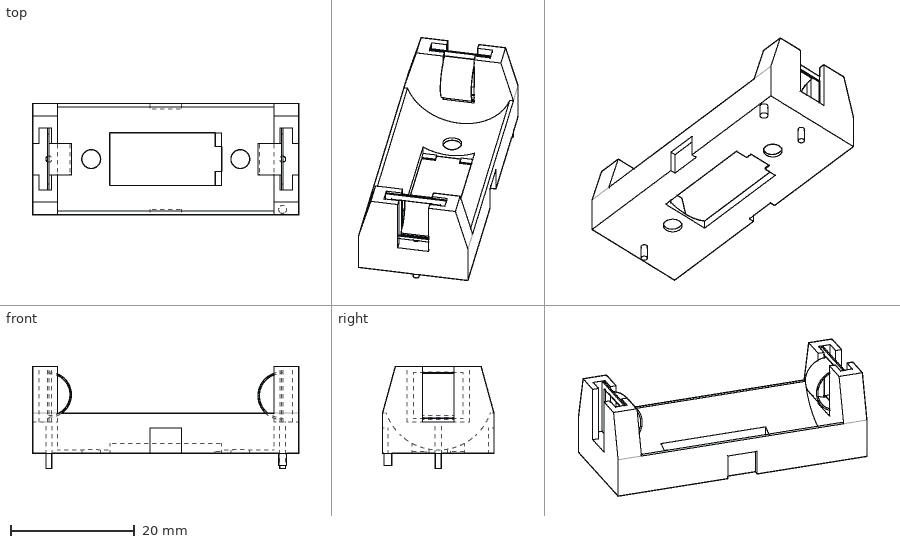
import cadquery as cq


length = 43.0
width = 18.0
rail_height = 6.5
tower_height = 14.0
tower_length = 4.05
tower_top_width = 13.9

cradle_radius = 8.9
cradle_floor = 0.5
cradle_axis_z = cradle_floor + cradle_radius

window_length = 18.05
window_width = 8.45
tab_length = 1.08
tab_width = 2.25
tab_thickness = 0.25
floor_hole_diameter = 3.0
floor_hole_x = 12.05
notch_length = 5.07
notch_height = 4.05
notch_depth = 0.9

seat_floor = 5.07
gap_width = 5.07
slot_length = 2.0
slot_width = 10.0
slot_outer_wall = 1.05
slot_x = length / 2 - slot_outer_wall - slot_length / 2

post_diameter = 1.3
post_length = 1.98
post_x = 18.88
post_y = -8.13

sheet_thickness = 0.25
frame_bar_height = 0.5
frame_opening_top = 13.05
leg_width = 1.0
pin_diameter = 1.0
pin_length = 2.5
pin_x = 18.88
left_face_x = -18.88
left_tongue_radius = 3.65
left_tongue_axis_z = 9.45
right_face_x = 18.7
right_tongue_radius = 3.83
right_tongue_axis_z = 9.3


def box(x_min, x_max, y_width, z_min, z_max):
    """Box centred on y = 0."""
    return cq.Workplane("XY").box(
        x_max - x_min, y_width, z_max - z_min, centered=(False, True, False)
    ).translate((x_min, 0, z_min))


def make_tower():
    """End block with a sloped-sided top, extruded inwards from the -X end."""
    half_base = width / 2
    half_top = tower_top_width / 2
    outline = [
        (-half_base, 0),
        (half_base, 0),
        (half_base, rail_height),
        (half_top, tower_height),
        (-half_top, tower_height),
        (-half_base, rail_height),
    ]
    profile = cq.Workplane("YZ").workplane(offset=-length / 2).polyline(outline).close()
    return profile.extrude(tower_length)


def make_trough():
    """Floor and side rails, hollowed by the round cradle."""
    half_length = length / 2 - tower_length
    block = box(-half_length, half_length, width, 0, rail_height)
    cradle = (
        cq.Workplane("YZ")
        .workplane(offset=-half_length)
        .center(0, cradle_axis_z)
        .circle(cradle_radius)
        .extrude(2 * half_length)
    )
    return block.cut(cradle)


def make_window():
    """Floor window with two thin corner tabs left at its +X end."""
    half_length = window_length / 2
    window = box(-half_length, half_length, window_width, 0, rail_height)
    for side in (-1, 1):
        tab = cq.Workplane("XY").box(tab_length, tab_width, tab_thickness, centered=(True, True, False))
        tab_y = side * (window_width - tab_width) / 2
        window = window.cut(tab.translate((half_length - tab_length / 2, tab_y, 0)))
    return window


def make_contact_seat():
    """Slot, gap and pin hole for the contact at the +X end."""
    slot = box(slot_x - slot_length / 2, slot_x + slot_length / 2, slot_width, seat_floor, tower_height)
    gap = box(length / 2 - tower_length, length / 2, gap_width, seat_floor, tower_height)
    pin_hole = cq.Workplane("XY").center(pin_x, 0).circle(pin_diameter / 2).extrude(seat_floor)
    return slot.union(gap).union(pin_hole)


def make_housing():
    tower = make_tower()
    body = make_trough().union(tower).union(tower.mirror("YZ"))
    body = body.cut(make_window())

    floor_holes = (
        cq.Workplane("XY")
        .pushPoints([(-floor_hole_x, 0), (floor_hole_x, 0)])
        .circle(floor_hole_diameter / 2)
        .extrude(rail_height)
    )
    body = body.cut(floor_holes)

    for side in (-1, 1):
        notch = cq.Workplane("XY").box(notch_length, notch_depth, notch_height, centered=(True, True, False))
        body = body.cut(notch.translate((0, side * (width - notch_depth) / 2, 0)))

    seat = make_contact_seat()
    body = body.cut(seat).cut(seat.mirror("YZ"))

    post = cq.Workplane("XY").center(post_x, post_y).circle(post_diameter / 2).extrude(-post_length)
    return body.union(post)


def make_contact(face_x, tongue_radius, tongue_axis_z):
    """Sheet metal contact whose frame has its inner face at face_x.

    The half-round tongue bulges from the frame towards the middle of the holder, and the pin
    passes down through the housing floor. Built at the +X end and mirrored for negative face_x.
    """
    inner_x = abs(face_x)
    outer_x = inner_x + sheet_thickness
    frame = box(inner_x, outer_x, slot_width, seat_floor, tower_height)
    opening_width = slot_width - 2 * leg_width
    frame_opening = box(inner_x, outer_x, opening_width, seat_floor + frame_bar_height, frame_opening_top)
    frame = frame.cut(frame_opening)

    inner_radius = tongue_radius - sheet_thickness
    tongue = (
        cq.Workplane("XZ")
        .workplane(offset=-gap_width / 2)
        .moveTo(inner_x, tongue_axis_z + tongue_radius)
        .threePointArc((inner_x - tongue_radius, tongue_axis_z), (inner_x, tongue_axis_z - tongue_radius))
        .lineTo(inner_x, tongue_axis_z - inner_radius)
        .threePointArc((inner_x - inner_radius, tongue_axis_z), (inner_x, tongue_axis_z + inner_radius))
        .close()
        .extrude(gap_width)
    )

    pin = (
        cq.Workplane("XY")
        .workplane(offset=-pin_length)
        .center(pin_x, 0)
        .circle(pin_diameter / 2)
        .extrude(pin_length + seat_floor)
    )

    contact = frame.union(tongue).union(pin)
    if face_x < 0:
        contact = contact.mirror("YZ")
    return contact


housing = make_housing()
contacts = [
    make_contact(face_x, radius, axis_z)
    for face_x, radius, axis_z in (
        (left_face_x, left_tongue_radius, left_tongue_axis_z),
        (right_face_x, right_tongue_radius, right_tongue_axis_z),
    )
]

result = cq.Compound.makeCompound([housing.val(), *[contact.val() for contact in contacts]])